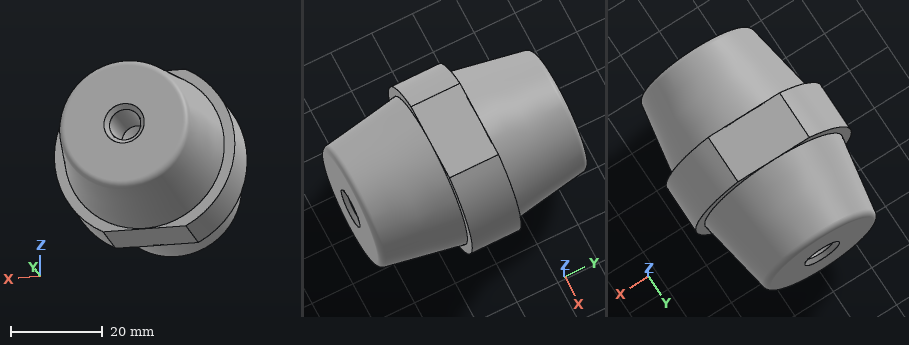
import cadquery as cq
import math

length = 51.0
collar_width = 12.0
collar_diameter = 40.5
flat_distance = 36.0
cone_base_diameter = 35.8
cone_end_diameter = 29.05
end_rounding = 1.55

hole_diameter = 7.0
hole_mouth_diameter = 9.05
hole_depth = 12.75
drill_tip_angle = 118.0


def make_collar():
    """Round collar with two flats, facing +Z and -Z."""
    disc = cq.Workplane("XZ").circle(collar_diameter / 2).extrude(collar_width / 2, both=True)
    flats = cq.Workplane("XY").box(collar_diameter, collar_width, flat_distance)
    return disc.intersect(flats)


def make_cone():
    """Tapered body from the middle of the collar to the +Y end, with a rounded rim."""
    half_length = length / 2
    half_collar = collar_width / 2
    profile = [
        (0, 0),
        (cone_base_diameter / 2, 0),
        (cone_base_diameter / 2, half_collar),
        (cone_end_diameter / 2, half_length),
        (0, half_length),
    ]
    cone = cq.Workplane("XY").polyline(profile).close().revolve(360, (0, 0), (0, 1))
    return cone.faces(">Y").edges().fillet(end_rounding)


def make_hole():
    """Blind drilled hole in the +Y end with a 45 degree countersink and a conical tip."""
    mouth_y = length / 2
    mouth_radius = hole_mouth_diameter / 2
    radius = hole_diameter / 2
    bottom_y = mouth_y - hole_depth
    tip_depth = radius / math.tan(math.radians(drill_tip_angle / 2))
    profile = [
        (0, mouth_y),
        (mouth_radius, mouth_y),
        (radius, mouth_y - (mouth_radius - radius)),
        (radius, bottom_y),
        (0, bottom_y - tip_depth),
    ]
    return cq.Workplane("XY").polyline(profile).close().revolve(360, (0, 0), (0, 1))


result = make_collar()
for angle in (0, 180):
    cone = make_cone().rotate((0, 0, 0), (0, 0, 1), angle)
    hole = make_hole().rotate((0, 0, 0), (0, 0, 1), angle)
    result = result.union(cone).cut(hole)